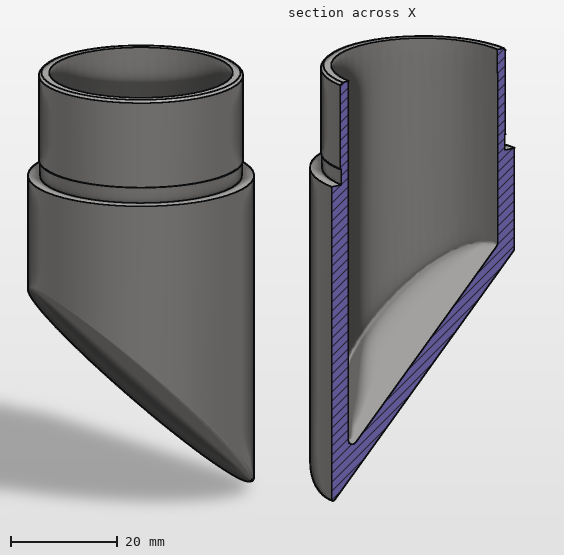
import cadquery as cq
import math

total_height = 81.7
body_diameter = 42.4

spigot_diameter = 38.3
spigot_height = 20.0
neck_diameter = 37.9
neck_height = 3.0
rim_chamfer = 0.5

bore_diameter = 34.4
wall = (body_diameter - bore_diameter) / 2
floor_thickness = wall
floor_fillet = 1.0

slant_angle = 45.0
end_fillet = 0.5

slant = math.radians(slant_angle)
tip_angle = math.pi / 2 - slant
tip_shortening = end_fillet * (1 / math.tan(tip_angle / 2) - 1)
tip_z = -tip_shortening
shoulder_z = total_height - spigot_height
floor_rise = floor_thickness / math.cos(slant)


def slanted_cylinder(diameter, axis_bottom_z, top_z):
    """Upright cylinder with a flat top and a slanted bottom that crosses the axis at axis_bottom_z."""
    radius = diameter / 2
    half_drop = radius * math.tan(slant)
    low_z = axis_bottom_z - half_drop
    high_z = axis_bottom_z + half_drop
    cylinder = cq.Workplane("XY").workplane(offset=low_z).circle(radius).extrude(top_z - low_z)
    side_profile = (
        cq.Workplane("YZ")
        .polyline([(-radius, high_z), (radius, low_z), (radius, top_z), (-radius, top_z)])
        .close()
        .extrude(radius, both=True)
    )
    return cylinder.intersect(side_profile)


def make_body(axis_bottom_z):
    """Solid body with a rounded edge around its slanted end."""
    return slanted_cylinder(body_diameter, axis_bottom_z, shoulder_z).faces("<Z").edges().fillet(end_fillet)


def make_spigot():
    """Solid spigot with its neck and the chamfered rim."""
    neck = cq.Workplane("XY").workplane(offset=shoulder_z).circle(neck_diameter / 2).extrude(neck_height)
    sleeve = (
        cq.Workplane("XY")
        .workplane(offset=shoulder_z + neck_height)
        .circle(spigot_diameter / 2)
        .extrude(spigot_height - neck_height)
        .faces(">Z")
        .edges()
        .chamfer(rim_chamfer)
    )
    return neck.union(sleeve)


def make_bore(axis_bottom_z):
    """Blind bore volume with a filleted slanted floor, open at the rim."""
    return slanted_cylinder(bore_diameter, axis_bottom_z, total_height).faces("<Z").edges().fillet(floor_fillet)


end_axis_z = tip_z + body_diameter / 2 * math.tan(slant)
body = make_body(end_axis_z)
bore = make_bore(end_axis_z + floor_rise)
result = body.union(make_spigot()).cut(bore)